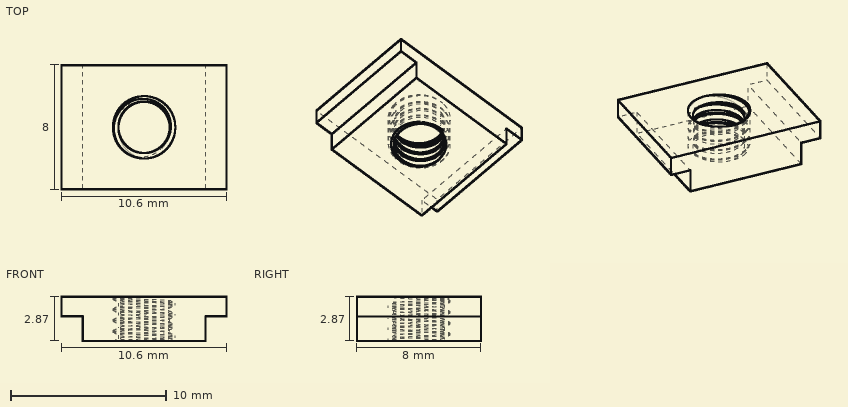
import cadquery as cq
import math

length = 10.64
width = 8.0
height = 2.87
flange_thickness = 1.28
base_length = 7.93

major_radius = 2.0
bore_radius = 1.65
pitch = 0.7
flank_angle = math.radians(30)
root_width = pitch / 8
groove_depth_at_start = 0.49
bore_overlap = 0.05

countersink_radius = 2.01
countersink_slope = math.radians(45)

top = height / 2
bottom = -height / 2


def make_block():
    flange = cq.Workplane("XY").box(length, width, flange_thickness)
    flange = flange.translate((0, 0, top - flange_thickness / 2))
    base_height = height - flange_thickness
    base = cq.Workplane("XY").box(base_length, width, base_height)
    return flange.union(base.translate((0, 0, bottom + base_height / 2)))


def make_bore():
    bore = cq.Workplane("XY").workplane(offset=bottom).circle(bore_radius).extrude(height)
    return bore.rotate((0, 0, 0), (0, 0, 1), 180)


def make_countersink():
    tip_depth = countersink_radius * math.tan(countersink_slope)
    outline = cq.Workplane("XZ").moveTo(0, top).lineTo(countersink_radius, top).lineTo(0, top - tip_depth)
    return outline.close().revolve(360, (0, 0, 0), (0, 1, 0))


def make_thread_groove():
    turns_below = math.ceil(height / pitch) - 1
    turns_above = 2
    start_z = top - groove_depth_at_start - turns_below * pitch
    inner_radius = bore_radius - bore_overlap
    root_half = root_width / 2
    mouth_half = root_half + (major_radius - inner_radius) * math.tan(flank_angle)
    profile = cq.Workplane("XZ").polyline([
        (inner_radius, start_z - mouth_half),
        (major_radius, start_z - root_half),
        (major_radius, start_z + root_half),
        (inner_radius, start_z + mouth_half),
    ]).close()
    helix_height = (turns_below + turns_above) * pitch
    path = cq.Wire.makeHelix(pitch, helix_height, major_radius, cq.Vector(0, 0, start_z))
    return profile.sweep(cq.Workplane(path), isFrenet=True)


result = make_block().cut(make_thread_groove()).cut(make_bore()).cut(make_countersink())